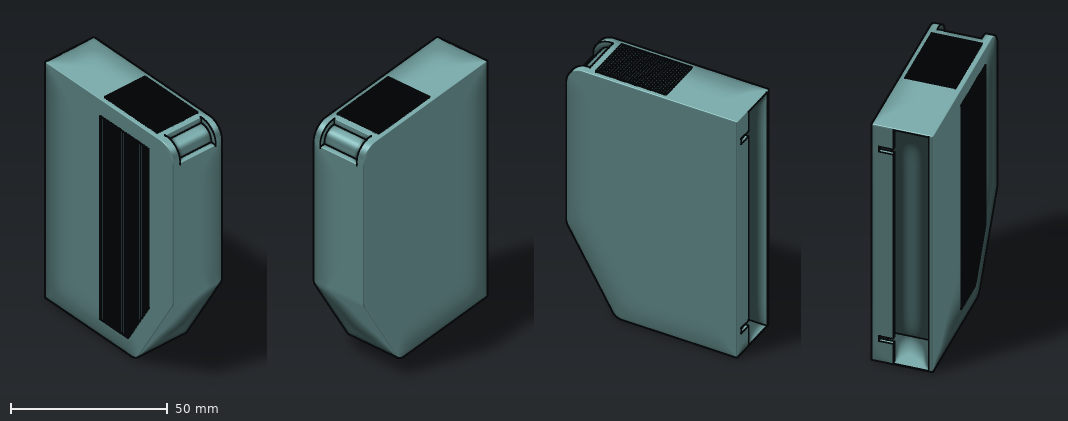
import cadquery as cq
import math

length = 62.7
width = 21.0
height = 93.24
front_y = -width / 2
back_y = width / 2
top_corner_radius = 6.4
slope_angle = math.radians(60)
slope_start_x = 44.6
slope_end_z = (length - slope_start_x) * math.tan(slope_angle)
slope_corner_radius = 4.0
edge_radius = 0.5

cavity_depth = 15.8
side_wall = 1.5
end_wall = 0.6
lip_width = 7.5
lip_thickness = 1.5
notch_depth = 4.9
notch_height = 2.0
notch_inset = 8.3

groove_pitch = 1.0
groove_width = 0.77
groove_depth = groove_width
groove_overcut = 1.0
vent_start_x = 27.12
side_groove_count = 24
side_vent_margin = 6.6
top_groove_count = 26
top_vent_width = 17.0

recess_width = 15.0
recess_depth = 2.2
recess_run = 0.7
recess_top_rim_radius = 0.3
recess_end_rim_radius = edge_radius
corner_center_x = length - top_corner_radius
corner_center_z = height - top_corner_radius
recess_start_x = corner_center_x - recess_run
recess_end_z = corner_center_z - recess_run


def block(x0, x1, y0, y1, z0, z1):
    """Box between two opposite corners."""
    return cq.Workplane("XY").box(x1 - x0, y1 - y0, z1 - z0, centered=False).translate((x0, y0, z0))


def fillet_edge_near(body, point, radius):
    """Round the one edge whose middle lies nearest to the point."""
    return body.edges(cq.selectors.NearestToPointSelector(point)).fillet(radius)


def make_body():
    """Solid block with a rounded top corner and a sloped lower corner."""
    outline = [(0, 0), (slope_start_x, 0), (length, slope_end_z), (length, height), (0, height)]
    body = cq.Workplane("XZ").polyline(outline).close().extrude(width / 2, both=True)
    body = fillet_edge_near(body, (length, 0, height), top_corner_radius)
    body = fillet_edge_near(body, (slope_start_x, 0, 0), slope_corner_radius)
    body = fillet_edge_near(body, (length, 0, slope_end_z), slope_corner_radius)
    return body.faces("<Y or >Y or <X").edges().fillet(edge_radius)


def cut_recess(body):
    """Set the rounded corner back over its middle part and round the two rims."""
    radius = top_corner_radius - recess_depth
    floor_z = corner_center_z + radius
    wall_x = corner_center_x + radius
    arc_offset = radius * math.sqrt(0.5)
    recess = (
        cq.Workplane("XZ")
        .moveTo(recess_start_x, height)
        .lineTo(recess_start_x, floor_z)
        .lineTo(corner_center_x, floor_z)
        .threePointArc(
            (corner_center_x + arc_offset, corner_center_z + arc_offset),
            (wall_x, corner_center_z),
        )
        .lineTo(wall_x, recess_end_z)
        .lineTo(length, recess_end_z)
        .lineTo(length, height)
        .close()
        .extrude(recess_width / 2, both=True)
    )
    body = body.cut(recess)
    body = fillet_edge_near(body, (recess_start_x, 0, height), recess_top_rim_radius)
    return fillet_edge_near(body, (length, 0, recess_end_z), recess_end_rim_radius)


def make_cavity():
    """Pocket open at X = 0, narrowed by the lip except at its two notches."""
    lip_edge_y = back_y - lip_width
    notch_end_y = lip_edge_y + notch_depth
    cavity = block(
        0, cavity_depth, front_y + side_wall, back_y - side_wall, end_wall, height - end_wall
    )
    cavity = cavity.cut(block(0, lip_thickness, lip_edge_y, back_y, 0, height))
    for notch_z in (notch_inset, height - notch_inset - notch_height):
        notch = block(0, lip_thickness, lip_edge_y, notch_end_y, notch_z, notch_z + notch_height)
        cavity = cavity.union(notch)
    return cavity


def vent_end_x(count):
    """X where the last of a row of grooves ends."""
    return vent_start_x + (count - 1) * groove_pitch + groove_width


def groove_row(count):
    """Outline of a row of V grooves as (x, distance above the surface)."""
    points = [(vent_start_x, groove_overcut)]
    for i in range(count):
        x = vent_start_x + i * groove_pitch
        points.append((x, 0))
        points.append((x + groove_width / 2, -groove_depth))
        points.append((x + groove_width, 0))
    points.append((vent_end_x(count), groove_overcut))
    return points


def make_side_vent():
    """Upright grooves in the front face, ending along a line parallel to the slope."""
    row = [(x, front_y - rise) for x, rise in groove_row(side_groove_count)]
    grooves = cq.Workplane("XY").polyline(row).close().extrude(height)
    end_x = vent_end_x(side_groove_count)
    bottom_z = side_vent_margin
    top_z = height - side_vent_margin
    corner_x = slope_start_x - side_vent_margin * math.tan(slope_angle / 2)
    corner_z = bottom_z + (end_x - corner_x) * math.tan(slope_angle)
    area = [
        (vent_start_x, bottom_z),
        (corner_x, bottom_z),
        (end_x, corner_z),
        (end_x, top_z),
        (vent_start_x, top_z),
    ]
    return grooves.intersect(cq.Workplane("XZ").polyline(area).close().extrude(width, both=True))


def make_top_vent():
    """Grooves across the top face."""
    row = [(x, height + rise) for x, rise in groove_row(top_groove_count)]
    return cq.Workplane("XZ").polyline(row).close().extrude(top_vent_width / 2, both=True)


result = cut_recess(make_body())
result = result.cut(make_cavity()).cut(make_side_vent()).cut(make_top_vent())